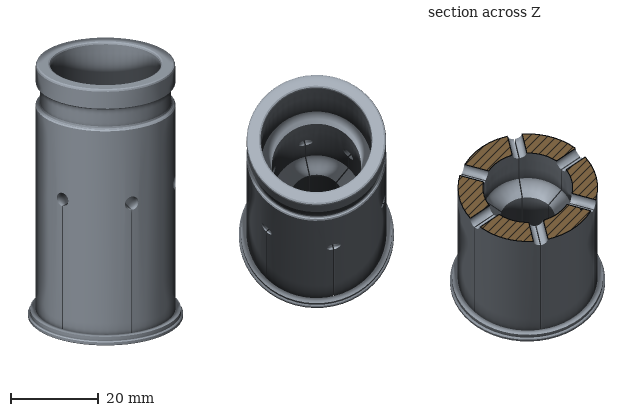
import cadquery as cq
import math

height = 62.5
body_radius = 32.0 / 2
collar_radius = 31.9 / 2
neck_radius = 30.0 / 2

flange_radius = 34.5 / 2
flange_height = 2.0
lip_radius = 35.5 / 2
lip_height = 1.0
lip_chamfer = 0.18

collar_height = 5.0
collar_lower_chamfer = 0.3
neck_height = 4.95
neck_top_chamfer = 0.15
body_chamfer = 0.3

easing_narrow = 0.15
easing_wide = 0.35

mouth_bore_radius = 25.3 / 2
mouth_bore_depth = 15.5
middle_bore_radius = 20.4 / 2
lower_bore_radius = 12.7 / 2
lower_cone_top = 25.0
cone_half_angle = 59.0

slot_count = 6
slot_width = 0.3
relief_hole_diameter = 3.3
relief_hole_z = 34.0
first_slot_angle = 30.0
cutter_length = body_radius + 1


def cone_height(upper_radius, lower_radius):
    """Height over which a cone in the bore narrows between two radii."""
    return (upper_radius - lower_radius) / math.tan(math.radians(cone_half_angle))


def make_sleeve():
    """Revolve the stepped wall, drawn as (radius, z), around Z."""
    collar_bottom = height - collar_height
    neck_bottom = collar_bottom - neck_height
    mouth_bore_bottom = height - mouth_bore_depth
    upper_cone_bottom = mouth_bore_bottom - cone_height(mouth_bore_radius, middle_bore_radius)
    lower_cone_bottom = lower_cone_top - cone_height(middle_bore_radius, lower_bore_radius)
    easing = easing_narrow + easing_wide
    profile = (
        cq.Workplane("XZ")
        .moveTo(lower_bore_radius, 0)
        .lineTo(lip_radius - lip_chamfer, 0)
        .lineTo(lip_radius, lip_chamfer)
        .lineTo(lip_radius, lip_height - lip_chamfer)
        .lineTo(lip_radius - lip_chamfer, lip_height)
        .lineTo(flange_radius, lip_height)
        .lineTo(flange_radius, flange_height)
        .lineTo(body_radius, flange_height)
        .lineTo(body_radius, neck_bottom - body_chamfer)
        .lineTo(body_radius - body_chamfer, neck_bottom)
        .lineTo(neck_radius + easing, neck_bottom)
        .lineTo(neck_radius + easing_narrow, neck_bottom + easing_narrow)
        .lineTo(neck_radius, neck_bottom + easing)
        .lineTo(neck_radius, collar_bottom - neck_top_chamfer)
        .lineTo(neck_radius + neck_top_chamfer, collar_bottom)
        .lineTo(collar_radius - collar_lower_chamfer, collar_bottom)
        .lineTo(collar_radius, collar_bottom + collar_lower_chamfer)
        .lineTo(collar_radius, height - easing)
        .lineTo(collar_radius - easing_narrow, height - easing_narrow)
        .lineTo(collar_radius - easing, height)
        .lineTo(mouth_bore_radius + easing, height)
        .lineTo(mouth_bore_radius + easing_narrow, height - easing_narrow)
        .lineTo(mouth_bore_radius, height - easing)
        .lineTo(mouth_bore_radius, mouth_bore_bottom)
        .lineTo(middle_bore_radius, upper_cone_bottom)
        .lineTo(middle_bore_radius, lower_cone_top)
        .lineTo(lower_bore_radius, lower_cone_bottom)
        .close()
    )
    return profile.revolve(360, (0, 0, 0), (0, 1, 0))


def repeat_around_axis(cutter):
    """Copies of a cutter lying along +X, turned about Z to every slot position."""
    copies = cq.Workplane("XY")
    for index in range(slot_count):
        angle = first_slot_angle + index * 360 / slot_count
        copies = copies.add(cutter.rotate((0, 0, 0), (0, 0, 1), angle))
    return copies.combine()


def make_slots():
    """Radial slots up to the relief holes, inside the body radius so the flange stays a closed ring."""
    slot = cq.Workplane("XY").box(cutter_length, slot_width, relief_hole_z, centered=(False, True, False))
    core = cq.Workplane("XY").circle(body_radius).extrude(relief_hole_z)
    return repeat_around_axis(slot).intersect(core)


def make_relief_holes():
    """Round holes through the wall at the top end of each slot."""
    hole = cq.Workplane("YZ").center(0, relief_hole_z).circle(relief_hole_diameter / 2).extrude(cutter_length)
    return repeat_around_axis(hole)


result = make_sleeve().cut(make_slots()).cut(make_relief_holes())